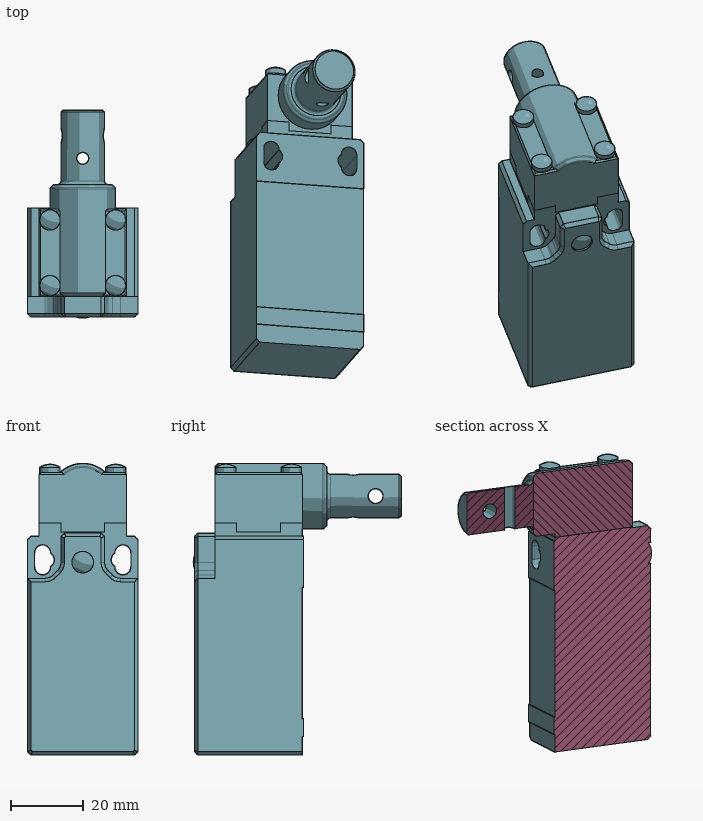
import cadquery as cq
import math


OVERALL_HEIGHT = 80.0

HOUSING_WIDTH = 30.3
SHOULDER_HEIGHT = 60.0
EDGE_CHAMFER = 1.0

PLATE_DEPTH = 5.6
PLATE_HEIGHT = 48.5
TONGUE_WIDTH = 12.0
TONGUE_TOP = 60.9
FLARE_CUT = 3.0
FLARE_FILLET = 3.0

BAND_HEIGHT = 0.3
LOWER_BAND_BOTTOM = 5.0
LOWER_BAND_TOP = 10.0
UPPER_BAND_BOTTOM = 46.0

SLOT_WIDTH = 4.3
SLOT_LENGTH = 8.2
SLOT_PITCH = 22.0
HOLE_PITCH = 20.0
MOUNTING_HEIGHT = 53.5

COVER_SCREW_RADIUS = 3.0
COVER_SCREW_HEIGHT = 52.9
COVER_SCREW_RECESS = 0.6
COVER_SCREW_RISE = 0.3

HEAD_SIZE = 24.0
HEAD_TOP = 77.4
HEAD_CHAMFER = 0.5
JOINT_TOP = 63.6
JOINT_BOTTOM = 61.1
JOINT_WIDTH = 12.0
HEAD_MIDDLE = PLATE_DEPTH + HEAD_SIZE / 2
HOUSING_DEPTH = PLATE_DEPTH + HEAD_SIZE

BARREL_DIAMETER = 18.0
AXIS_HEIGHT = OVERALL_HEIGHT - BARREL_DIAMETER / 2
BARREL_END = 36.3
BARREL_CHAMFER = 1.0
BARREL_ROUNDING = 0.5

SCREW_PITCH = 18.0
SCREW_RADIUS = 2.8
SCREW_RIM = 1.4
SCREW_DOME = 0.9

SHAFT_RADIUS = 6.0
SHAFT_END = 56.7
SHAFT_CHAMFER = 0.6
SHAFT_FILLET = 1.0
SIDE_HOLE_RADIUS = 2.0
SIDE_HOLE_SETBACK = 7.0
UPRIGHT_HOLE_RADIUS = 1.6
UPRIGHT_HOLE_SETBACK = 13.2


def box(width, y_start, y_end, z_start, z_end):
    """Block centred on X = 0 between the given Y and Z limits."""
    block = cq.Workplane("XY").box(width, y_end - y_start, z_end - z_start, centered=(True, False, False))
    return block.translate((0, y_start, z_start))


def front_plane(y):
    """Workplane facing the front at depth y: local x is X, local y is Z, extruding backwards."""
    return cq.Workplane(cq.Plane(origin=(0, y, 0), xDir=(1, 0, 0), normal=(0, -1, 0)))


def domed_disc(radius, rim, rise):
    """Disc standing on Z = 0 with a straight rim and a spherical top."""
    dome_radius = (radius**2 + rise**2) / (2 * rise)
    half_angle = math.asin(radius / dome_radius) / 2
    arc_x = dome_radius * math.sin(half_angle)
    arc_z = rim + rise - dome_radius * (1 - math.cos(half_angle))
    return (
        cq.Workplane("XZ")
        .lineTo(radius, 0)
        .lineTo(radius, rim)
        .threePointArc((arc_x, arc_z), (0, rim + rise))
        .close()
        .revolve(360, (0, 0), (0, 1))
    )


def housing_block():
    """Block behind the front plate, with bands on its back and sloping shoulders."""
    back = HOUSING_DEPTH + BAND_HEIGHT
    block = box(HOUSING_WIDTH, PLATE_DEPTH, HOUSING_DEPTH, 0, SHOULDER_HEIGHT)
    block = block.union(box(HOUSING_WIDTH, HOUSING_DEPTH, back, LOWER_BAND_BOTTOM, LOWER_BAND_TOP))
    block = block.union(box(HOUSING_WIDTH, HOUSING_DEPTH, back, UPPER_BAND_BOTTOM, SHOULDER_HEIGHT))
    return block.edges("|Y and (>Z or <Z)").chamfer(EDGE_CHAMFER)


def front_plate():
    """Plate whose tongue flares into it through sloping, rounded corners."""
    side = HOUSING_WIDTH / 2
    tongue = TONGUE_WIDTH / 2
    flare = tongue + FLARE_CUT
    flare_top = PLATE_HEIGHT + FLARE_CUT
    chamfer = EDGE_CHAMFER
    right_half = [
        (side - chamfer, 0),
        (side, chamfer),
        (side, PLATE_HEIGHT),
        (flare, PLATE_HEIGHT),
        (tongue, flare_top),
        (tongue, TONGUE_TOP - chamfer),
        (tongue - chamfer, TONGUE_TOP),
    ]
    left_half = [(-x, z) for x, z in reversed(right_half)]
    plate = front_plane(0).polyline(right_half + left_half).close().extrude(-PLATE_DEPTH)
    flare_region = cq.selectors.BoxSelector(
        (-flare - chamfer, 0, PLATE_HEIGHT - chamfer),
        (flare + chamfer, PLATE_DEPTH, flare_top + chamfer),
    )
    plate = plate.edges("|Y").edges(flare_region).fillet(FLARE_FILLET)
    return plate.faces("<Y").chamfer(chamfer)


def joint_cross():
    """Cross under the head that drops between the four corner posts of the housing."""
    half = JOINT_WIDTH / 2
    lengthwise = box(JOINT_WIDTH, PLATE_DEPTH, HOUSING_DEPTH, JOINT_BOTTOM, JOINT_TOP)
    crosswise = box(HEAD_SIZE, HEAD_MIDDLE - half, HEAD_MIDDLE + half, JOINT_BOTTOM, JOINT_TOP)
    return lengthwise.union(crosswise)


def mounting_cutter():
    """Both slots and their round holes, running through the whole depth."""
    length = HOUSING_DEPTH + 2 * BAND_HEIGHT
    slots = (
        front_plane(0)
        .pushPoints([(-SLOT_PITCH / 2, MOUNTING_HEIGHT), (SLOT_PITCH / 2, MOUNTING_HEIGHT)])
        .slot2D(SLOT_LENGTH, SLOT_WIDTH, 90)
        .extrude(-length)
    )
    holes = (
        front_plane(0)
        .pushPoints([(-HOLE_PITCH / 2, MOUNTING_HEIGHT), (HOLE_PITCH / 2, MOUNTING_HEIGHT)])
        .circle(SLOT_WIDTH / 2)
        .extrude(-length)
    )
    return slots.union(holes)


def make_housing():
    neck = box(HEAD_SIZE, PLATE_DEPTH, HOUSING_DEPTH, SHOULDER_HEIGHT, JOINT_TOP)
    body = housing_block().union(front_plate()).union(neck.cut(joint_cross()))
    body = body.cut(mounting_cutter())
    recess = front_plane(0).center(0, COVER_SCREW_HEIGHT).circle(COVER_SCREW_RADIUS)
    body = body.cut(recess.extrude(-COVER_SCREW_RECESS))
    dome_rise = COVER_SCREW_RECESS + COVER_SCREW_RISE
    screw = domed_disc(COVER_SCREW_RADIUS, SCREW_RIM, dome_rise)
    screw = screw.rotate((0, 0, 0), (1, 0, 0), 90)
    return body.union(screw.translate((0, COVER_SCREW_RECESS + SCREW_RIM, COVER_SCREW_HEIGHT)))


def make_head():
    block = box(HEAD_SIZE, PLATE_DEPTH, HOUSING_DEPTH, JOINT_TOP, HEAD_TOP)
    block = block.faces(">Z").chamfer(HEAD_CHAMFER)
    barrel = (
        front_plane(PLATE_DEPTH)
        .center(0, AXIS_HEIGHT)
        .circle(BARREL_DIAMETER / 2)
        .extrude(PLATE_DEPTH - BARREL_END)
        .faces("<Y or >Y")
        .chamfer(BARREL_CHAMFER)
        .edges("%CIRCLE")
        .fillet(BARREL_ROUNDING)
    )
    head = block.union(barrel).union(joint_cross())
    screw = domed_disc(SCREW_RADIUS, SCREW_RIM, SCREW_DOME)
    for x in (-SCREW_PITCH / 2, SCREW_PITCH / 2):
        for y in (HEAD_MIDDLE - SCREW_PITCH / 2, HEAD_MIDDLE + SCREW_PITCH / 2):
            head = head.union(screw.translate((x, y, HEAD_TOP)))
    return head


def make_shaft():
    """Shaft standing on the end of the barrel, with two cross holes."""
    shaft = (
        cq.Workplane("XY")
        .moveTo(0, BARREL_END)
        .lineTo(SHAFT_RADIUS + SHAFT_FILLET, BARREL_END)
        .radiusArc((SHAFT_RADIUS, BARREL_END + SHAFT_FILLET), SHAFT_FILLET)
        .lineTo(SHAFT_RADIUS, SHAFT_END - SHAFT_CHAMFER)
        .lineTo(SHAFT_RADIUS - SHAFT_CHAMFER, SHAFT_END)
        .lineTo(0, SHAFT_END)
        .close()
        .revolve(360, (0, 0), (0, 1))
        .translate((0, 0, AXIS_HEIGHT))
    )
    side_hole = (
        cq.Workplane("YZ")
        .center(SHAFT_END - SIDE_HOLE_SETBACK, AXIS_HEIGHT)
        .circle(SIDE_HOLE_RADIUS)
        .extrude(SHAFT_RADIUS, both=True)
    )
    upright_hole = (
        cq.Workplane("XY", origin=(0, 0, AXIS_HEIGHT))
        .center(0, SHAFT_END - UPRIGHT_HOLE_SETBACK)
        .circle(UPRIGHT_HOLE_RADIUS)
        .extrude(SHAFT_RADIUS, both=True)
    )
    return shaft.cut(side_hole).cut(upright_hole)


housing = make_housing()
head = make_head()
shaft = make_shaft()
result = cq.Compound.makeCompound([housing.val(), head.val(), shaft.val()])